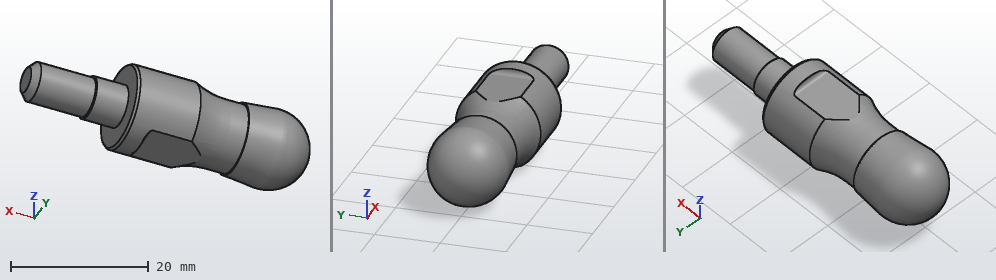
import cadquery as cq
import math

length = 44.9
cap_end = 11.7
neck_end = 14.5
flare_end = 19.9
shoulder_x = 29.95
pilot_end = 35.0
pilot_taper_length = 0.15

cap_radius = 12.0 / 2
land_length = 0.4
skirt_end_radius = 11.0 / 2

neck_radius = 10.5 / 2
body_radius = 13.0 / 2
pilot_radius = 6.5 / 2
stud_radius = 6.0 / 2
shoulder_chamfer = 0.4
shoulder_chamfer_depth = 0.25
stud_chamfer = 1.1

flats_width = 11.0
flats_end = 26.8
flats_fillet = 0.75


def revolve_about_x(profile):
    return profile.close().revolve(360, (0, 0, 0), (1, 0, 0))


def make_cap():
    """Solid ball-nosed tip with a flat rear face seated on the neck."""
    ball_center = cap_radius
    diagonal = cap_radius * math.sqrt(0.5)
    profile = (
        cq.Workplane("XY")
        .moveTo(0, 0)
        .threePointArc((ball_center - diagonal, diagonal), (ball_center, cap_radius))
        .lineTo(ball_center + land_length, cap_radius)
        .lineTo(cap_end, skirt_end_radius)
        .lineTo(cap_end, 0)
    )
    return revolve_about_x(profile)


def make_turned_body():
    """Neck, concave flare, wrench section, pilot and stud in one turned piece."""
    flare_length = flare_end - neck_end
    flare_rise = body_radius - neck_radius
    flare_radius = (flare_length**2 + flare_rise**2) / (2 * flare_rise)
    half_angle = math.asin(flare_length / flare_radius) / 2
    flare_middle = (
        neck_end + flare_radius * math.sin(half_angle),
        neck_radius + flare_radius * (1 - math.cos(half_angle)),
    )
    profile = (
        cq.Workplane("XY")
        .moveTo(cap_end, 0)
        .lineTo(cap_end, neck_radius)
        .lineTo(neck_end, neck_radius)
        .threePointArc(flare_middle, (flare_end, body_radius))
        .lineTo(shoulder_x - shoulder_chamfer, body_radius)
        .lineTo(shoulder_x, body_radius - shoulder_chamfer_depth)
        .lineTo(shoulder_x, pilot_radius)
        .lineTo(pilot_end, pilot_radius)
        .lineTo(pilot_end + pilot_taper_length, stud_radius)
        .lineTo(length - stud_chamfer, stud_radius)
        .lineTo(length, stud_radius - stud_chamfer)
        .lineTo(length, 0)
    )
    return revolve_about_x(profile)


def make_flat_cutter(side):
    """Block that cuts one flat; its inner rear edge is rounded (side is +1 or -1)."""
    cutter_height = body_radius
    cutter = (
        cq.Workplane("XY")
        .box(flats_end - neck_end, 2 * body_radius, cutter_height, centered=(False, True, False))
        .edges(">X and <Z")
        .fillet(flats_fillet)
        .translate((neck_end, 0, flats_width / 2))
    )
    return cutter if side > 0 else cutter.mirror("XY")


cap = make_cap()

body = make_turned_body()
for side in (1, -1):
    body = body.cut(make_flat_cutter(side))

result = cq.Compound.makeCompound([cap.val(), body.val()])